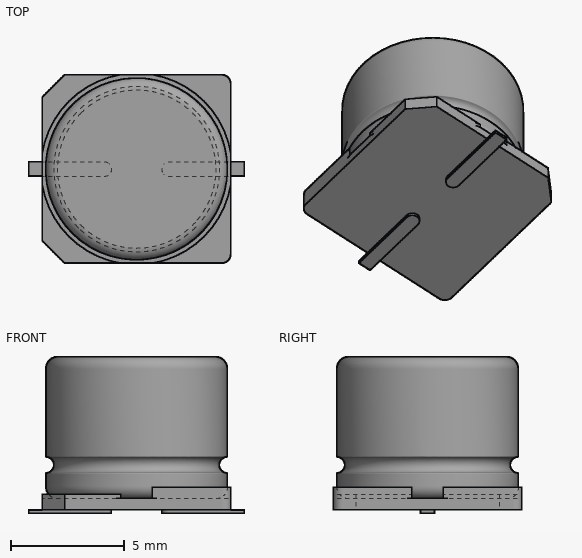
import cadquery as cq
import math

lead_thickness = 0.15
base_width = 8.3
base_bottom = lead_thickness
low_rim_top = 0.85
high_rim_top = 1.15
corner_chamfer = 0.99
corner_radius = 0.4
seat_floor = 0.66
seat_radius = 4.21

can_radius = 4.0
can_top = 6.9
top_fillet = 0.53
bottom_fillet = 0.51
groove_middle = 2.13
groove_radius = 0.35
groove_lip_fillet = 0.04

lead_span = 9.5
lead_width = 0.64
lead_inner_end = 1.1


def make_base():
    """Square plate, chamfered at -X, rounded and raised at +X, with a round seat."""
    plate = (
        cq.Workplane("XY", origin=(0, 0, base_bottom))
        .rect(base_width, base_width)
        .extrude(high_rim_top - base_bottom)
        .edges("|Z and <X").chamfer(corner_chamfer)
        .edges("|Z and >X").fillet(corner_radius)
    )
    low_half = (
        cq.Workplane("XY", origin=(-base_width / 4, 0, low_rim_top))
        .rect(base_width / 2, base_width)
        .extrude(high_rim_top - low_rim_top)
    )
    seat = (
        cq.Workplane("XY", origin=(0, 0, seat_floor))
        .circle(seat_radius)
        .extrude(high_rim_top - seat_floor)
    )
    return plate.cut(low_half).cut(seat)


def make_can():
    """Revolved can with rounded ends and a half-round crimp groove with softened lips."""
    corner_point = math.sqrt(0.5)
    top_arc_middle = (
        can_radius - top_fillet * (1 - corner_point),
        can_top - top_fillet * (1 - corner_point),
    )
    bottom_arc_middle = (
        can_radius - bottom_fillet * (1 - corner_point),
        seat_floor + bottom_fillet * (1 - corner_point),
    )
    body = (
        cq.Workplane("XZ")
        .moveTo(0, seat_floor)
        .lineTo(can_radius - bottom_fillet, seat_floor)
        .threePointArc(bottom_arc_middle, (can_radius, seat_floor + bottom_fillet))
        .lineTo(can_radius, groove_middle - groove_radius)
        .threePointArc(
            (can_radius - groove_radius, groove_middle),
            (can_radius, groove_middle + groove_radius),
        )
        .lineTo(can_radius, can_top - top_fillet)
        .threePointArc(top_arc_middle, (can_radius - top_fillet, can_top))
        .lineTo(0, can_top)
        .close()
        .revolve(360, (0, 0, 0), (0, 1, 0))
    )
    groove_lips = cq.selectors.BoxSelector(
        (-can_radius * 2, -can_radius * 2, groove_middle - groove_radius - groove_lip_fillet),
        (can_radius * 2, can_radius * 2, groove_middle + groove_radius + groove_lip_fillet),
        boundingbox=True,
    )
    lip_edges = body.edges("%CIRCLE").edges(groove_lips)
    return lip_edges.fillet(groove_lip_fillet)


def make_lead(side):
    """Flat lead under the base with a half-round inner end; side is -1 or +1 along X."""
    outer_end = side * lead_span / 2
    inner_tip = side * lead_inner_end
    round_start = side * (lead_inner_end + lead_width / 2)
    return (
        cq.Workplane("XY")
        .moveTo(outer_end, -lead_width / 2)
        .lineTo(round_start, -lead_width / 2)
        .threePointArc((inner_tip, 0), (round_start, lead_width / 2))
        .lineTo(outer_end, lead_width / 2)
        .close()
        .extrude(lead_thickness)
    )


result = make_base().union(make_can())
for side in (-1, 1):
    result = result.union(make_lead(side))